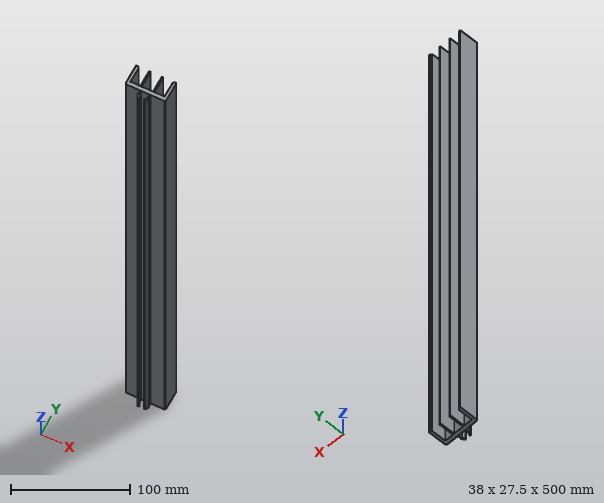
import cadquery as cq

length = 500.0
width = 38.0
depth = 27.5

plate_front_y = -6.5
plate_thickness = 4.0
corner_chamfer_x = 1.0
corner_chamfer_y = 0.75
side_wall_thickness = 3.0
side_wall_tip_thickness = 2.0
tip_bevel_height = 1.0
inner_fin_x = 6.0
inner_fin_thickness = 1.5

leg_outer_x = 5.0
leg_thickness = 1.25
barb_depth = 0.4
barb_start_y = -10.0
barb_land = 1.0
tip_outer_x = 3.75
tip_inner_x = 2.25
tip_height = 1.0
leg_bend_y = -10.5

back_y = depth / 2
front_y = -depth / 2
plate_back_y = plate_front_y + plate_thickness


def extrude_outline(points):
    """Extrude a closed XY outline over the full length, centred on Z."""
    return cq.Workplane("XY").polyline(points).close().extrude(length / 2, both=True)


def make_channel():
    """U-shaped channel with chamfered front corners and bevelled inner wall tips."""
    half_width = width / 2
    wall_inner_x = half_width - side_wall_thickness
    wall_tip_x = half_width - side_wall_tip_thickness
    bevel_y = back_y - tip_bevel_height
    right_half = [
        (half_width - corner_chamfer_x, plate_front_y),
        (half_width, plate_front_y + corner_chamfer_y),
        (half_width, back_y),
        (wall_tip_x, back_y),
        (wall_inner_x, bevel_y),
        (wall_inner_x, plate_back_y),
    ]
    left_half = [(-x, y) for x, y in reversed(right_half)]
    return extrude_outline(right_half + left_half)


def make_inner_fin(side):
    """Thin upright fin rising from the plate."""
    left_x = side * inner_fin_x - inner_fin_thickness / 2
    right_x = left_x + inner_fin_thickness
    return extrude_outline([
        (left_x, plate_front_y),
        (right_x, plate_front_y),
        (right_x, back_y),
        (left_x, back_y),
    ])


def make_clip_leg(side):
    """Leg with a small outer barb, narrowing towards the centre at its tip."""
    leg_inner_x = leg_outer_x - leg_thickness
    barb_x = leg_outer_x + barb_depth
    outline = [
        (leg_outer_x, plate_back_y),
        (leg_outer_x, barb_start_y),
        (barb_x, barb_start_y),
        (barb_x, barb_start_y - barb_land),
        (tip_outer_x, front_y),
        (tip_inner_x, front_y),
        (tip_inner_x, front_y + tip_height),
        (leg_inner_x, leg_bend_y),
        (leg_inner_x, plate_back_y),
    ]
    return extrude_outline([(side * x, y) for x, y in outline])


result = make_channel()
for side in (-1, 1):
    result = result.union(make_inner_fin(side))
    result = result.union(make_clip_leg(side))